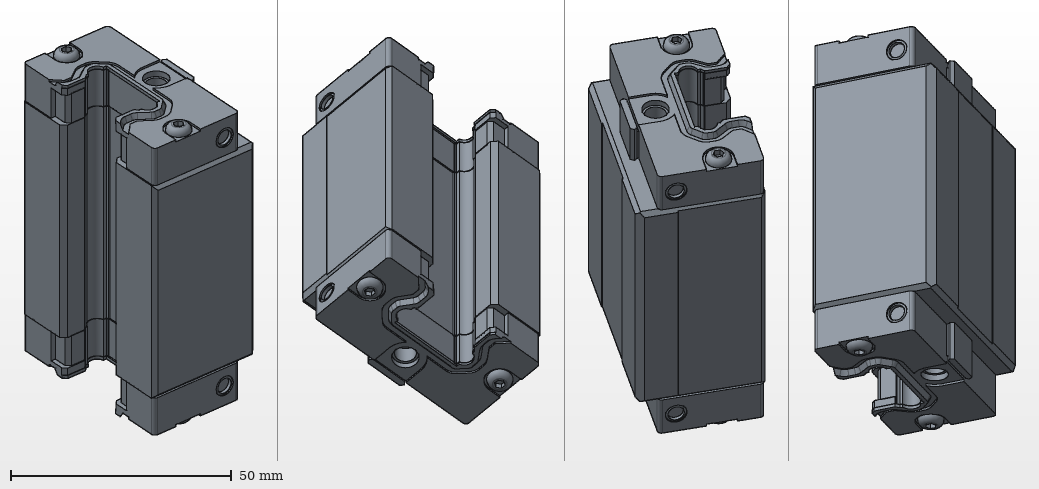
import cadquery as cq
import math


width = 48.0
height = 30.2
length = 79.6
end_z = length / 2

block_half_length = 28.6
block_top_chamfer = 1.8
block_foot_chamfer = 1.05
block_end_chamfer = 1.1
side_relief = 0.25
side_relief_top = 20.5
top_relief = 0.25
top_relief_half_width = 9.75
block_channel_gap = 0.25

lip_x = 8.65
lip_flare = 1.2
lip_top = 6.4
neck_x = 9.5
neck_y = 7.2
groove_bottom = 7.9
groove_top = 12.3
groove_x = 11.25
channel_top = 13.2
channel_depth_below = 4.0
web_relief_half_width = 9.1
block_web_top = 13.9
cap_web_top = 13.6

cap_x = 23.5
cap_bottom = 0.3
cap_top = 25.1
cap_end = 38.6
cap_corner_radius = 1.0
recess_depth = 0.55
recess_floor = cap_end - recess_depth
cap_channel_gap = 0.12

pocket_x = 13.5
pocket_top = 1.5
pocket_corner = 1.05
pocket_wall_x = 9.05
pocket_end = 36.7

seal_end = 39.45
seal_slope = 0.7
seal_margin = 1.45
seal_foot_x = 12.55
seal_lip_x = 10.35
seal_lip_bottom = 2.2
seal_lip_top = 5.3
seal_groove_x = 12.95
seal_groove_bottom = 8.9
seal_groove_top = 11.7
seal_shoulder_x = 9.9
seal_top = 14.9
seal_corner_radius = 2.0

port_y = 20.0
port_slot_half_width = 4.9
port_diameter = 6.2
port_bore_diameter = 5.0
port_step_depth = 1.5
port_bore_depth = 6.0

screw_x = 20.1
screw_y = 10.2
screw_slot_diameter = 7.2
screw_head_diameter = 6.0
screw_flat_diameter = 3.3
dome_bulge = 0.3
socket_hex_diameter = 2.5
socket_depth = 1.4

side_port_y = 20.9
side_port_z = 33.4
side_port_diameter = 5.0
side_port_bore_diameter = 3.8
side_port_groove_depth = 0.4
side_port_rim_depth = 0.1
side_port_depth = 1.0

tab_half_width = 5.5
tab_bottom = 25.5
tab_top = 27.1
tab_end = 37.9
tab_ridge = 26.2
tab_neck_half_width = 4.9
tab_neck_end = 36.6


def prism(x0, x1, y0, y1, z0, z1):
    """Box between two opposite corners."""
    box = cq.Workplane("XY").box(x1 - x0, y1 - y0, z1 - z0, centered=False)
    return box.translate((x0, y0, z0))


def cylinder(x, y, diameter, z0, z1):
    """Cylinder along Z between two heights."""
    return cq.Workplane("XY").workplane(offset=z0).center(x, y).circle(diameter / 2).extrude(z1 - z0)


def rail_channel(gap, z0, z1):
    """Channel for the rail, widened all round by a gap."""
    groove_y = (groove_bottom + groove_top) / 2
    foot_x = lip_x + lip_flare + channel_depth_below
    outline = (
        cq.Workplane("XY")
        .workplane(offset=z0)
        .moveTo(-foot_x, -channel_depth_below)
        .lineTo(-lip_x, lip_flare)
        .lineTo(-lip_x, lip_top)
        .lineTo(-neck_x, neck_y)
        .lineTo(-neck_x, groove_bottom)
        .threePointArc((-groove_x, groove_y), (-neck_x, groove_top))
        .lineTo(-neck_x, channel_top)
        .lineTo(neck_x, channel_top)
        .lineTo(neck_x, groove_top)
        .threePointArc((groove_x, groove_y), (neck_x, groove_bottom))
        .lineTo(neck_x, neck_y)
        .lineTo(lip_x, lip_top)
        .lineTo(lip_x, lip_flare)
        .lineTo(foot_x, -channel_depth_below)
        .close()
    )
    if gap > 0:
        outline = outline.offset2D(gap, "intersection")
    return outline.extrude(z1 - z0)


def web_relief(top):
    """Shallow relief along the web between the two ball grooves, ending behind the seal lips."""
    return prism(
        -web_relief_half_width, web_relief_half_width, lip_top, top, -cap_end, cap_end
    )


def seal_outline(z0):
    """Outer outline of the seal with rounded corners, carried below the cap to be trimmed flat."""
    half = [
        (seal_foot_x + channel_depth_below, -channel_depth_below),
        (seal_lip_x, seal_lip_bottom),
        (seal_lip_x, seal_lip_top),
        (seal_groove_x, seal_groove_bottom),
        (seal_groove_x, seal_groove_top),
        (seal_shoulder_x, seal_top),
    ]
    mirrored = [(-x, y) for x, y in reversed(half)]
    plate = cq.Workplane("XY").workplane(offset=z0).polyline(half + mirrored).close().extrude(recess_depth)
    plate = plate.edges("|Z").fillet(seal_corner_radius)
    return plate.faces("<Z").wires().toPending()


def make_block():
    """Steel block with chamfered corners and ends and shallow reliefs on its side and top."""
    half_width = width / 2
    relief_x = half_width - side_relief
    left_foot_chamfer = block_foot_chamfer + side_relief
    section = (
        cq.Workplane("XY")
        .workplane(offset=-block_half_length)
        .polyline([
            (-half_width + left_foot_chamfer, 0),
            (half_width - block_foot_chamfer, 0),
            (half_width, block_foot_chamfer),
            (half_width, height - block_top_chamfer),
            (half_width - block_top_chamfer, height),
            (-half_width + block_top_chamfer, height),
            (-half_width, height - block_top_chamfer),
            (-half_width, left_foot_chamfer),
        ])
        .close()
        .extrude(2 * block_half_length)
    )
    blank = prism(-half_width, half_width, 0, height, -block_half_length, block_half_length)
    blank = blank.faces("<Z or >Z").edges("|Y or >Y").chamfer(block_end_chamfer)
    block = blank.intersect(section)
    block = block.cut(
        prism(-width, -relief_x, -height, side_relief_top, -length, length)
    )
    block = block.cut(
        prism(-top_relief_half_width, top_relief_half_width, height - top_relief, 2 * height, -length, length)
    )
    return block.cut(rail_channel(block_channel_gap, -length, length)).cut(web_relief(block_web_top))


def cap_blank():
    """End cap with rounded corners around the rail channel."""
    cap = prism(-cap_x, cap_x, cap_bottom, cap_top, block_half_length, cap_end)
    cap = cap.edges("|Z").fillet(cap_corner_radius)
    return cap.cut(rail_channel(cap_channel_gap, block_half_length, cap_end)).cut(web_relief(cap_web_top))


def leg_pocket():
    """Pocket under the right leg of the cap, which also sets the leg's inner wall back."""
    section = (
        cq.Workplane("XY")
        .workplane(offset=block_half_length)
        .polyline([
            (0, 0),
            (pocket_x, 0),
            (pocket_x, pocket_top),
            (pocket_wall_x + pocket_corner, pocket_top),
            (pocket_wall_x, pocket_top + pocket_corner),
            (pocket_wall_x, lip_top),
            (0, lip_top),
        ])
        .close()
    )
    return section.extrude(pocket_end - block_half_length)


def face_recess():
    """Shallow recess in the end face, around the seal and the grease port."""
    around_seal = seal_outline(recess_floor).offset2D(seal_margin, "arc").extrude(recess_depth, combine=False)
    around_port = cylinder(0, port_y, 2 * port_slot_half_width, recess_floor, cap_end)
    above_port = prism(
        -port_slot_half_width, port_slot_half_width, port_y, cap_top, recess_floor, cap_end
    )
    return around_seal.union(around_port).union(above_port)


def screw_slot():
    """Round-ended slot for the right screw head, open to the side of the cap."""
    radius = screw_slot_diameter / 2
    slot = prism(screw_x, cap_x, screw_y - radius, screw_y + radius, recess_floor, cap_end)
    return slot.union(cylinder(screw_x, screw_y, screw_slot_diameter, recess_floor, cap_end))


def grease_port():
    """Stepped blind hole in the end face."""
    port = cylinder(0, port_y, port_diameter, recess_floor - port_step_depth, cap_end)
    return port.union(cylinder(0, port_y, port_bore_diameter, recess_floor - port_bore_depth, cap_end))


def side_port():
    """Blind hole in the right side of the cap, ringed by a groove with a sloped inner wall."""
    outer = side_port_diameter / 2
    bore = side_port_bore_diameter / 2
    ring = (
        cq.Workplane("XZ")
        .moveTo(0, 0)
        .lineTo(outer, 0)
        .lineTo(outer, -side_port_groove_depth)
        .lineTo(bore, -side_port_rim_depth)
        .lineTo(bore, -side_port_depth)
        .lineTo(0, -side_port_depth)
        .close()
        .revolve(360, (0, 0), (0, 1))
    )
    return ring.rotate((0, 0, 0), (0, 1, 0), 90).translate((cap_x, side_port_y, side_port_z))


def make_seal():
    """Seal lip standing out of the recess, sloped on its outer side."""
    rise = seal_end - recess_floor
    slope_angle = math.degrees(math.atan2(seal_slope, rise))
    seal = seal_outline(recess_floor).extrude(rise, combine=False, taper=slope_angle)
    seal = seal.intersect(prism(-cap_x, cap_x, cap_bottom, cap_top, recess_floor, end_z))
    seal = seal.cut(rail_channel(cap_channel_gap, recess_floor, cap_end)).cut(web_relief(cap_web_top))
    return seal.cut(rail_channel(0, cap_end, end_z))


def make_screw():
    """Domed head of the right screw with a hexagon socket."""
    base = screw_head_diameter / 2
    flat = screw_flat_diameter / 2
    middle_radius = (base + flat) / 2 + dome_bulge
    middle_z = (recess_floor + end_z) / 2 + dome_bulge
    head = (
        cq.Workplane("XZ")
        .moveTo(0, recess_floor)
        .lineTo(base, recess_floor)
        .threePointArc((middle_radius, middle_z), (flat, end_z))
        .lineTo(0, end_z)
        .close()
        .revolve(360, (0, 0), (0, 1))
    )
    socket = (
        cq.Workplane("XY")
        .workplane(offset=end_z - socket_depth)
        .transformed(rotate=(0, 0, 90))
        .polygon(6, socket_hex_diameter)
        .extrude(socket_depth)
    )
    return head.cut(socket).translate((screw_x, screw_y, 0))


def make_tab():
    """Tab on top of the cap with ridged sides, joined by a narrower neck."""
    tab = (
        cq.Workplane("XY")
        .workplane(offset=block_half_length)
        .polyline([
            (-tab_neck_half_width, tab_bottom),
            (tab_neck_half_width, tab_bottom),
            (tab_half_width, tab_ridge),
            (tab_neck_half_width, tab_top),
            (-tab_neck_half_width, tab_top),
            (-tab_half_width, tab_ridge),
        ])
        .close()
        .extrude(tab_end - block_half_length)
    )
    neck = prism(
        -tab_neck_half_width, tab_neck_half_width, cap_top, tab_bottom, block_half_length, tab_neck_end
    )
    return tab.union(neck)


def make_end():
    """Complete end at +Z: cap, seal, screws and tab."""
    end = cap_blank().cut(face_recess()).cut(grease_port())
    for cutter in (leg_pocket(), screw_slot(), side_port()):
        end = end.cut(cutter).cut(cutter.mirror("YZ"))
    screw = make_screw()
    for added in (make_seal(), screw, screw.mirror("YZ"), make_tab()):
        end = end.union(added)
    return end


end = make_end()
result = make_block().union(end).union(end.mirror("XY"))